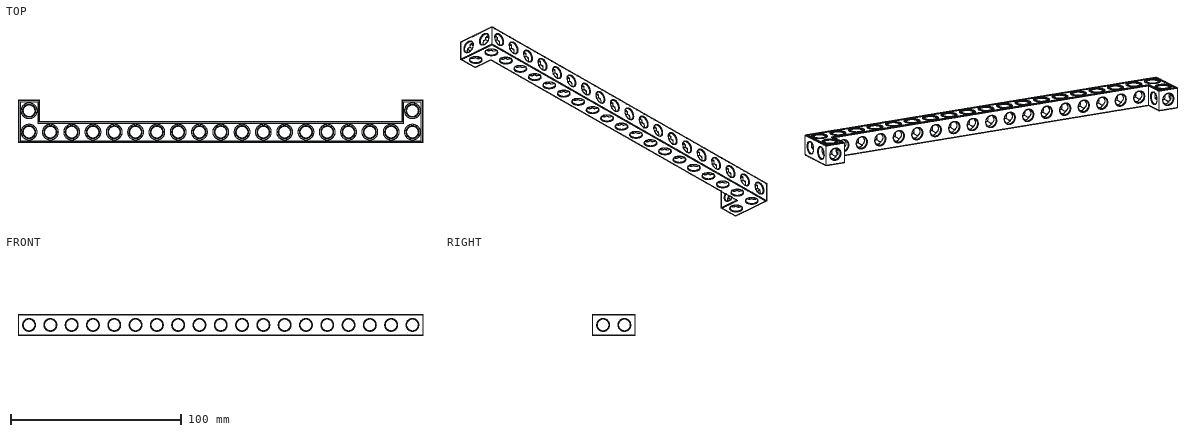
import cadquery as cq

LENGTH = 237.5
CELL_COUNT = 19
BORE_DIAMETER = 7.0
BOSS_DIAMETER = 9.3
RIM_WIDTH = 1.1
POCKET_DEPTH = 0.2
EDGE_CHAMFER = 0.3
BORE_CHAMFER = 0.33

PITCH = LENGTH / CELL_COUNT
WIDTH = 2 * PITCH
BEAM_CENTER = PITCH / 2
LEG_CENTER = PITCH + BEAM_CENTER
MID_HEIGHT = PITCH / 2

BORE_RADIUS = BORE_DIAMETER / 2
BOSS_RADIUS = BOSS_DIAMETER / 2
MOUTH_RADIUS = BORE_RADIUS + BORE_CHAMFER

X_AXIS = cq.Vector(1, 0, 0)
Y_AXIS = cq.Vector(0, 1, 0)
Z_AXIS = cq.Vector(0, 0, 1)

cell_positions = [(i + 0.5) * PITCH for i in range(CELL_COUNT)]
inner_positions = cell_positions[1:-1]
end_positions = [cell_positions[0], cell_positions[-1]]
vertical_positions = [(x, BEAM_CENTER) for x in cell_positions]
vertical_positions += [(x, LEG_CENTER) for x in end_positions]


def bracket_prism(inset, height):
    """U-shaped prism whose walls lie inset inside the outer walls of the bracket."""
    left = inset
    right = LENGTH - inset
    left_leg_inside = PITCH - inset
    right_leg_inside = LENGTH - PITCH + inset
    front = inset
    beam_back = PITCH - inset
    leg_back = WIDTH - inset
    outline = [
        (left, front),
        (right, front),
        (right, leg_back),
        (right_leg_inside, leg_back),
        (right_leg_inside, beam_back),
        (left_leg_inside, beam_back),
        (left_leg_inside, leg_back),
        (left, leg_back),
    ]
    return cq.Workplane("XY").polyline(outline).close().extrude(height)


def top_pocket():
    """Shallow recess of the top face, leaving the rim and a round boss at each bore."""
    recess = bracket_prism(RIM_WIDTH, POCKET_DEPTH)
    bosses = cq.Workplane("XY").pushPoints(vertical_positions).circle(BOSS_RADIUS).extrude(POCKET_DEPTH)
    return recess.cut(bosses).translate((0, 0, PITCH - POCKET_DEPTH))


def chamfered_bore(start, axis, side, depth):
    """Cutter along axis with a chamfer at both mouths; side is square to the axis."""
    half_profile = [
        (0, 0),
        (MOUTH_RADIUS, 0),
        (BORE_RADIUS, BORE_CHAMFER),
        (BORE_RADIUS, depth - BORE_CHAMFER),
        (MOUTH_RADIUS, depth),
        (0, depth),
    ]
    plane = cq.Plane(start, side, side.cross(axis))
    return cq.Workplane(plane).polyline(half_profile).close().revolve(360, (0, 0), (0, 1)).val()


def vertical_bores():
    return [chamfered_bore((x, y, 0), Z_AXIS, X_AXIS, PITCH) for x, y in vertical_positions]


def front_bores():
    """Front-to-back bores: through the beam, and through beam and leg at the ends."""
    beam_bores = [chamfered_bore((x, 0, MID_HEIGHT), Y_AXIS, X_AXIS, PITCH) for x in inner_positions]
    leg_bores = [chamfered_bore((x, 0, MID_HEIGHT), Y_AXIS, X_AXIS, WIDTH) for x in end_positions]
    return beam_bores + leg_bores


def lengthwise_bores():
    """One bore along the whole beam and one across each leg."""
    beam_bore = chamfered_bore((0, BEAM_CENTER, MID_HEIGHT), X_AXIS, Z_AXIS, LENGTH)
    leg_bores = [
        chamfered_bore((x, LEG_CENTER, MID_HEIGHT), X_AXIS, Z_AXIS, PITCH) for x in (0, LENGTH - PITCH)
    ]
    return [beam_bore] + leg_bores


body = bracket_prism(0, PITCH).faces("<Z or >Z").edges().chamfer(EDGE_CHAMFER)
body = body.cut(top_pocket())
bores = vertical_bores() + front_bores() + lengthwise_bores()
result = cq.Workplane(body.val().cut(*bores)).solids()